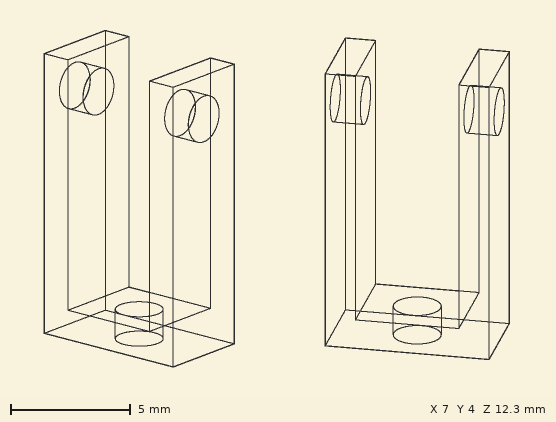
import cadquery as cq

height = 12.3
width = 7.0
depth = 4.0
wall = 1.29
hole_diameter = 2.0
pin_hole_drop = 1.91

gap = width - 2 * wall
pin_height = height - pin_hole_drop


def clevis_body():
    """Block standing on Z = 0 with an open slot between two arms."""
    block = cq.Workplane("XY").box(width, depth, height, centered=(True, True, False))
    slot = (
        cq.Workplane("XY")
        .workplane(offset=wall)
        .box(gap, depth, height - wall, centered=(True, True, False))
    )
    return block.cut(slot)


def pin_hole():
    """Cylinder along X passing through both arms."""
    return (
        cq.Workplane("YZ")
        .center(0, pin_height)
        .circle(hole_diameter / 2)
        .extrude(width / 2, both=True)
    )


def base_hole():
    """Vertical cylinder passing through the base."""
    return cq.Workplane("XY").circle(hole_diameter / 2).extrude(wall)


result = clevis_body().cut(pin_hole()).cut(base_hole())